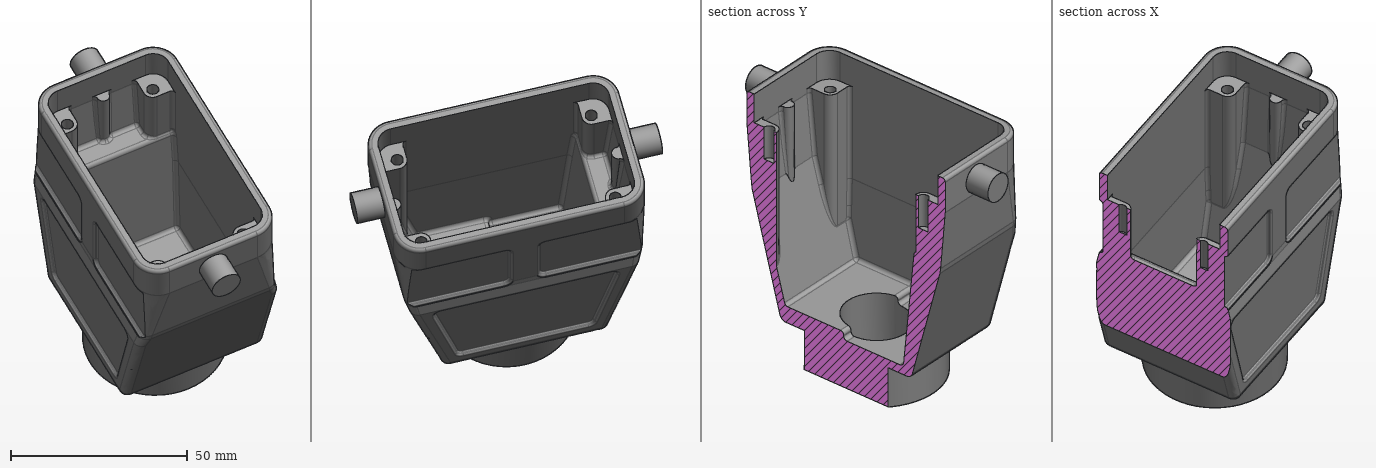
import cadquery as cq
TOP_Z = 85.1
BELT_Z = 73.9
WAIST_TOP_Z = 54.4
WAIST_BOTTOM_Z = 52.6
SHOULDER_Z = 48.7
BODY_BOTTOM_Z = 13.1

MOUTH_HALF_X = 36.6
WAIST_TOP_HALF_X = 34.9
WAIST_BOTTOM_HALF_X = 34.6
BODY_BOTTOM_HALF_X = 24.0
SHOULDER_SHARE = (SHOULDER_Z - BODY_BOTTOM_Z) / (WAIST_BOTTOM_Z - BODY_BOTTOM_Z)
SHOULDER_HALF_X = BODY_BOTTOM_HALF_X + SHOULDER_SHARE * (WAIST_BOTTOM_HALF_X - BODY_BOTTOM_HALF_X)
BELT_HALF_Y = 21.5
WAIST_BOTTOM_HALF_Y = 21.7
BODY_HALF_Y = 22.5
BELT_CORNER_R = 7.6
WAIST_CORNER_R = 2.9
BODY_CORNER_R = 2.5
RIM_FILLET = 1.1
BOTTOM_FILLET = 2.4

PIN_R = 4.5
PIN_Z = 78.8
PIN_TIP_X = 44.6
COLLAR_R = 20.6
BORE_R = 10.4

PANEL_DRAFT_ANGLE = 20.0
PANEL_FLOOR_FILLET = 0.5
PANEL_RIM_FILLET = 0.7
PANEL_RIM_MARGIN = 0.6
PANEL_CORNER_R = 2.1
UPPER_PANEL_DEPTH = 1.1
UPPER_PANEL_BOTTOM_Z = 53.2
UPPER_PANEL_TOP_Z = 73.8
WEB_HALF_X = 4.0
LOWER_PANEL_DEPTH = 1.1
LOWER_PANEL_BOTTOM_Z = 18.2
LOWER_PANEL_TOP_Z = 48.0
LOWER_PANEL_BOTTOM_HALF_X = 20.0
LOWER_PANEL_TOP_HALF_X = 27.6

WALL = 2.85
CAVITY_HALF_X = MOUTH_HALF_X - WALL
CAVITY_HALF_Y = 18.7
CAVITY_FLOOR_HALF_Y = 17.75
CAVITY_DRAFT_Z = 44.6
CAVITY_CORNER_R = BELT_CORNER_R - WALL
CAVITY_WAIST_X = 31.75
CAVITY_WAIST_Z = (WAIST_TOP_Z + WAIST_BOTTOM_Z) / 2
LEFT_FLOOR_Z = 16.1
LEFT_FLOOR_X = 21.0
RIGHT_FLOOR_Z = 18.7
RIGHT_FLOOR_X = 22.3
FLOOR_STEP_X = 0.8
LEDGE_Z = 56.2
LEDGE_OUTER_X = 32.0
LEDGE_INNER_X = 25.0
CAVITY_FILLET = 1.25

POST_TOP_Z = 75.5
POST_INNER_X = 25.6
POST_INNER_Y = 10.7
SCREW_X = 28.4
SCREW_Y = 13.6
SCREW_R = 1.7
SCREW_DEPTH = 10.7
POST_CORNER_R = SCREW_X - POST_INNER_X
POST_FILLET = 1.1
END_RIB_R = 1.9
END_RIB_X = 32.7

PICK_TOLERANCE = 0.1
OVERCUT = 8.9
SIDES = (-1, 1)


def rounded_rectangle(half_x, half_y, radius, z):
    """Rounded rectangular section at height z."""
    sketch = cq.Sketch().rect(2 * half_x, 2 * half_y).vertices().fillet(radius).reset()
    return sketch.moved(cq.Location(cq.Vector(0, 0, z)))


def make_body():
    """Solid hood without cavity: straight belt, tapered waist and tapered lower body."""
    sections = [
        rounded_rectangle(BODY_BOTTOM_HALF_X, BODY_HALF_Y, BODY_CORNER_R, BODY_BOTTOM_Z),
        rounded_rectangle(SHOULDER_HALF_X, BODY_HALF_Y, BODY_CORNER_R, SHOULDER_Z),
        rounded_rectangle(WAIST_BOTTOM_HALF_X, WAIST_BOTTOM_HALF_Y, WAIST_CORNER_R, WAIST_BOTTOM_Z),
        rounded_rectangle(WAIST_TOP_HALF_X, BELT_HALF_Y, WAIST_CORNER_R, WAIST_TOP_Z),
        rounded_rectangle(MOUTH_HALF_X, BELT_HALF_Y, BELT_CORNER_R, BELT_Z),
        rounded_rectangle(MOUTH_HALF_X, BELT_HALF_Y, BELT_CORNER_R, TOP_Z),
    ]
    body = cq.Workplane("XY").placeSketch(*sections).loft(ruled=True).clean()
    body = body.faces(">Z").edges().fillet(RIM_FILLET)
    return body.faces("<Z").edges().fillet(BOTTOM_FILLET)


def panel_cutter(corners, face_y, depth):
    """Drafted recess with rounded corners, rim and floor, sunk from y = -face_y to the middle."""
    outline = cq.Sketch().polygon(corners + corners[:1]).vertices().fillet(PANEL_CORNER_R).reset()
    plate_outline = outline.copy().wires().offset(PANEL_RIM_MARGIN).reset()
    plane = cq.Workplane("XZ", origin=(0, -face_y, 0))
    recess = plane.placeSketch(outline).extrude(-depth, taper=PANEL_DRAFT_ANGLE)
    recess = recess.faces(">Y").edges().fillet(PANEL_FLOOR_FILLET)
    plate = plane.placeSketch(plate_outline).extrude(OVERCUT)
    cutter = plate.union(recess)
    rim = cutter.faces("|Y").faces(">Y[-2]").val().innerWires()[0]
    return cutter.newObject(rim.Edges()).fillet(PANEL_RIM_FILLET)


def cut_panels(body):
    """Two upper panels running out at the ends and one lower panel, on both broad sides."""
    outer_x = MOUTH_HALF_X + OVERCUT
    upper = panel_cutter(
        [
            (WEB_HALF_X, UPPER_PANEL_BOTTOM_Z),
            (outer_x, UPPER_PANEL_BOTTOM_Z),
            (outer_x, UPPER_PANEL_TOP_Z),
            (WEB_HALF_X, UPPER_PANEL_TOP_Z),
        ],
        BELT_HALF_Y,
        UPPER_PANEL_DEPTH,
    )
    lower = panel_cutter(
        [
            (-LOWER_PANEL_BOTTOM_HALF_X, LOWER_PANEL_BOTTOM_Z),
            (LOWER_PANEL_BOTTOM_HALF_X, LOWER_PANEL_BOTTOM_Z),
            (LOWER_PANEL_TOP_HALF_X, LOWER_PANEL_TOP_Z),
            (-LOWER_PANEL_TOP_HALF_X, LOWER_PANEL_TOP_Z),
        ],
        BODY_HALF_Y,
        LOWER_PANEL_DEPTH,
    )
    front = [upper, upper.mirror("YZ"), lower]
    for cutter in front:
        body = body.cut(cutter).cut(cutter.mirror("XZ"))
    return body


def make_cavity_envelope():
    """Inner space without posts and ribs: stepped floor, ledge at the -X end, drafted walls."""
    profile = [
        (-CAVITY_HALF_X, TOP_Z),
        (-CAVITY_HALF_X, BELT_Z),
        (-LEDGE_OUTER_X, LEDGE_Z),
        (-LEDGE_INNER_X, LEDGE_Z),
        (-LEFT_FLOOR_X, LEFT_FLOOR_Z),
        (FLOOR_STEP_X, LEFT_FLOOR_Z),
        (FLOOR_STEP_X, RIGHT_FLOOR_Z),
        (RIGHT_FLOOR_X, RIGHT_FLOOR_Z),
        (CAVITY_WAIST_X, CAVITY_WAIST_Z),
        (CAVITY_HALF_X, BELT_Z),
        (CAVITY_HALF_X, TOP_Z),
    ]
    cross_section = [
        (-CAVITY_HALF_Y, TOP_Z),
        (-CAVITY_HALF_Y, CAVITY_DRAFT_Z),
        (-CAVITY_FLOOR_HALF_Y, BODY_BOTTOM_Z),
        (CAVITY_FLOOR_HALF_Y, BODY_BOTTOM_Z),
        (CAVITY_HALF_Y, CAVITY_DRAFT_Z),
        (CAVITY_HALF_Y, TOP_Z),
    ]
    filleted_zone = cq.selectors.BoxSelector(
        (-CAVITY_HALF_X, -OVERCUT, 0),
        (LEDGE_INNER_X, OVERCUT, LEDGE_Z + PICK_TOLERANCE),
    )
    length = cq.Workplane("XZ").polyline(profile).close().extrude(BODY_HALF_Y, both=True)
    length = length.edges("|Y").edges(filleted_zone).fillet(CAVITY_FILLET)
    depth = cq.Workplane("YZ").polyline(cross_section).close().extrude(MOUTH_HALF_X, both=True)
    cavity = length.intersect(depth)

    lower_wall_edges = cavity.edges().filter(
        lambda edge: abs(edge.Center().y) > CAVITY_FLOOR_HALF_Y - PICK_TOLERANCE
        and BODY_BOTTOM_Z < edge.Center().z < CAVITY_DRAFT_Z - PICK_TOLERANCE
    )
    cavity = lower_wall_edges.fillet(CAVITY_FILLET)

    mouth = cq.Workplane("XY").placeSketch(
        rounded_rectangle(CAVITY_HALF_X, CAVITY_HALF_Y, CAVITY_CORNER_R, 0)
    ).extrude(TOP_Z)
    return cavity.intersect(mouth)


def is_close(value, target):
    """True when two coordinates coincide within the picking tolerance."""
    return abs(value - target) < PICK_TOLERANCE


def is_post_root(edge):
    """True for edges where a post or rib meets an end wall, a long wall or the ledge."""
    box = edge.BoundingBox()
    middle = edge.Center()
    on_end_wall = is_close(max(abs(box.xmin), abs(box.xmax)), CAVITY_HALF_X) and is_close(box.zmax, BELT_Z)
    beside_post = is_close(abs(middle.y), POST_INNER_Y) or abs(middle.y) < END_RIB_R + PICK_TOLERANCE
    on_long_wall = is_close(abs(middle.x), POST_INNER_X) and is_close(abs(middle.y), CAVITY_HALF_Y)
    on_ledge = is_close(box.zmin, LEDGE_Z) and is_close(box.zmax, LEDGE_Z) and middle.x < -LEDGE_INNER_X
    upright = box.zlen > POST_TOP_Z - BELT_Z
    return on_ledge or upright and (on_long_wall or on_end_wall and beside_post)


def make_cavity():
    """Inner space left around the four screw posts and the two end ribs."""
    cavity = make_cavity_envelope()
    for side_x in SIDES:
        for side_y in SIDES:
            post = (
                cq.Workplane("XY")
                .rect(2 * (MOUTH_HALF_X - POST_INNER_X), 2 * (BODY_HALF_Y - POST_INNER_Y))
                .extrude(POST_TOP_Z)
                .edges("|Z")
                .fillet(POST_CORNER_R)
                .translate((side_x * MOUTH_HALF_X, side_y * BODY_HALF_Y, 0))
            )
            cavity = cavity.cut(post)
        rib = cq.Workplane("XY").center(side_x * END_RIB_X, 0).circle(END_RIB_R).extrude(POST_TOP_Z)
        cavity = cavity.cut(rib)
    return cavity.edges().filter(is_post_root).fillet(POST_FILLET)


def make_screw_holes():
    """Blind holes sunk into the tops of the four posts."""
    positions = [(side_x * SCREW_X, side_y * SCREW_Y) for side_x in SIDES for side_y in SIDES]
    top_plane = cq.Workplane("XY", origin=(0, 0, POST_TOP_Z))
    return top_plane.pushPoints(positions).circle(SCREW_R).extrude(-SCREW_DEPTH)


def make_pins():
    """Round locking pins standing out from both ends of the belt."""
    pin_length = PIN_TIP_X - CAVITY_HALF_X
    pin = cq.Workplane("YZ", origin=(CAVITY_HALF_X, 0, PIN_Z)).circle(PIN_R).extrude(pin_length)
    return pin.union(pin.mirror("YZ"))


collar = cq.Workplane("XY").circle(COLLAR_R).extrude(LEFT_FLOOR_Z)
bore = cq.Workplane("XY").circle(BORE_R).extrude(CAVITY_WAIST_Z)

result = cut_panels(make_body()).union(collar).cut(make_cavity())
result = result.cut(bore).cut(make_screw_holes()).union(make_pins())